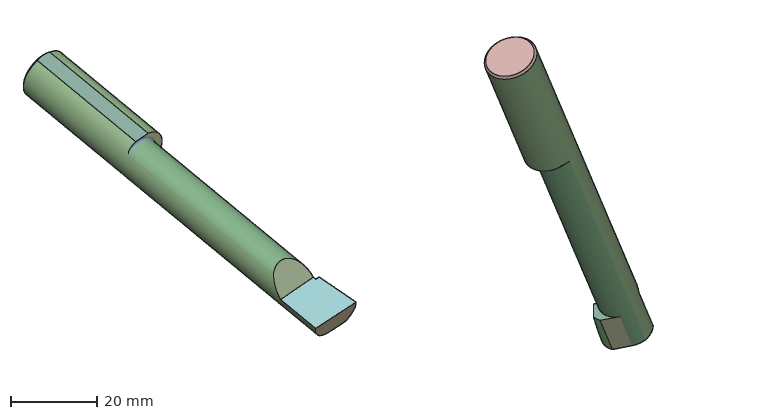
import cadquery as cq
import math

length = 101.6
shank_radius = 6.35
shank_length = 34.4
shank_flat_z = 6.05
end_chamfer = 0.5

neck_radius = 5.4
shoulder_fillet = 0.5
neck_offset_y = -1.4

ramp_angle = 45.0
ramp_end_x = 89.2
rake_face_z = 0.0

head_start_x = 90.0
head_start_y = 5.0
head_tip_y = 6.1
front_relief_angle = 7.0
end_taper_angle = 1.5


def x_cylinder(radius, start_x, end_x):
    plane = cq.Workplane("YZ", origin=(start_x, 0, 0))
    return plane.circle(radius).extrude(end_x - start_x)


def make_shank():
    shank = x_cylinder(shank_radius, 0, shank_length).faces("<X").chamfer(end_chamfer)
    above_flat = cq.Workplane("XY", origin=(shank_length / 2, 0, shank_flat_z)).box(
        shank_length, 2 * shank_radius, shank_radius, centered=(True, True, False)
    )
    return shank.cut(above_flat)


def make_neck():
    """Offset round neck with a shoulder fillet, trimmed to the shank's cylinder."""
    half_profile = (
        cq.Workplane("XZ", origin=(0, neck_offset_y, 0))
        .moveTo(shank_length, 0)
        .lineTo(shank_length, neck_radius + shoulder_fillet)
        .radiusArc((shank_length + shoulder_fillet, neck_radius), -shoulder_fillet)
        .lineTo(length, neck_radius)
        .lineTo(length, 0)
        .close()
    )
    neck = half_profile.revolve(360, (0, 0), (1, 0))
    return neck.intersect(x_cylinder(shank_radius, shank_length, length))


def make_head():
    """Cutting head widening towards its tip, with a rounded side below."""
    plan = [
        (head_start_x, neck_offset_y),
        (length, neck_offset_y),
        (length, head_tip_y),
        (head_start_x, head_start_y),
    ]
    head = cq.Workplane("XY", origin=(0, 0, -neck_radius)).polyline(plan).close()
    head = head.extrude(rake_face_z + neck_radius)
    return head.intersect(x_cylinder(shank_radius, head_start_x, length))


def make_chip_space():
    """Space above the rake face, opening along the ramp."""
    rise = shank_radius - rake_face_z
    ramp_top_x = ramp_end_x - rise / math.tan(math.radians(ramp_angle))
    outline = [
        (ramp_end_x, rake_face_z),
        (length, rake_face_z),
        (length, shank_radius),
        (ramp_top_x, shank_radius),
    ]
    profile = cq.Workplane("XZ").polyline(outline).close()
    return profile.extrude(shank_radius, both=True)


def make_end_relief():
    """Cutter whose face leans back below the tip and away from the tip's side."""
    cutter_size = 4 * shank_radius
    cutter = cq.Workplane("XY", origin=(length, head_tip_y, rake_face_z)).box(
        cutter_size, cutter_size, cutter_size, centered=(False, True, True)
    )
    tip = cq.Vector(length, head_tip_y, rake_face_z)
    cutter = cutter.rotate(tip, tip + cq.Vector(0, 1, 0), front_relief_angle)
    return cutter.rotate(tip, tip + cq.Vector(0, 0, 1), -end_taper_angle)


result = make_shank().union(make_neck()).union(make_head())
result = result.cut(make_chip_space()).cut(make_end_relief())